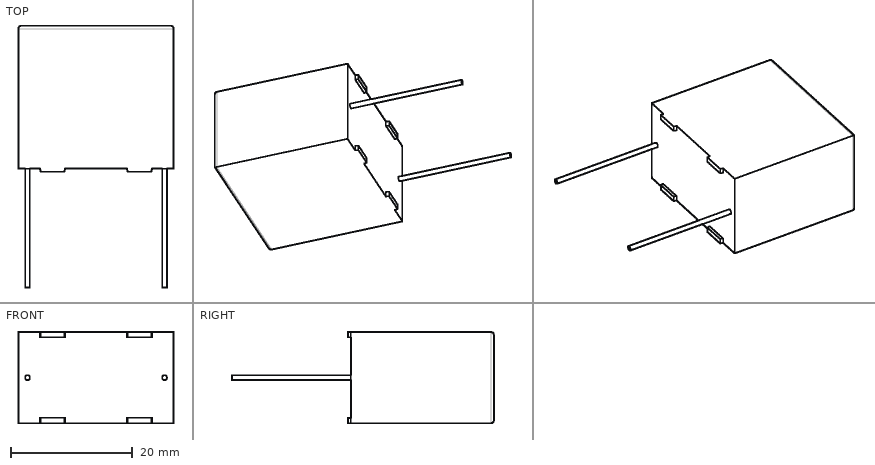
import cadquery as cq


CASE_WIDTH = 25.5
CASE_THICKNESS = 15.0
OVERALL_DEPTH = 43.0
LEAD_LENGTH = 19.52
CASE_DEPTH = OVERALL_DEPTH - LEAD_LENGTH
BACK_EDGE_RADIUS = 0.5

FOOT_SPACING = 14.28
FOOT_BASE_WIDTH = 4.15
FOOT_TIP_WIDTH = 3.85
FOOT_HEIGHT = 0.5
FOOT_THICKNESS = 0.9

LEAD_PITCH = 22.5
LEAD_DIAMETER = 0.8


def make_foot(center_x, bottom_z):
    """Trapezoidal foot that narrows from the lead face toward its tip."""
    return (
        cq.Workplane("XY")
        .workplane(offset=bottom_z)
        .moveTo(center_x - FOOT_BASE_WIDTH / 2, 0)
        .lineTo(center_x + FOOT_BASE_WIDTH / 2, 0)
        .lineTo(center_x + FOOT_TIP_WIDTH / 2, -FOOT_HEIGHT)
        .lineTo(center_x - FOOT_TIP_WIDTH / 2, -FOOT_HEIGHT)
        .close()
        .extrude(FOOT_THICKNESS)
    )


def make_case():
    """Plain box with rounded back edges and four feet on the lead face."""
    case = (
        cq.Workplane("XY")
        .box(CASE_WIDTH, CASE_DEPTH, CASE_THICKNESS, centered=(True, False, True))
        .faces(">Y")
        .edges()
        .fillet(BACK_EDGE_RADIUS)
    )
    lower_foot_z = -CASE_THICKNESS / 2
    upper_foot_z = CASE_THICKNESS / 2 - FOOT_THICKNESS
    for center_x in (-FOOT_SPACING / 2, FOOT_SPACING / 2):
        for bottom_z in (lower_foot_z, upper_foot_z):
            case = case.union(make_foot(center_x, bottom_z))
    return case


def make_lead(center_x):
    """Straight round wire that starts on the lead face and points to -Y."""
    return (
        cq.Workplane("XZ")
        .center(center_x, 0)
        .circle(LEAD_DIAMETER / 2)
        .extrude(LEAD_LENGTH)
    )


case = make_case()
leads = [make_lead(center_x) for center_x in (-LEAD_PITCH / 2, LEAD_PITCH / 2)]

result = cq.Compound.makeCompound([case.val(), *[lead.val() for lead in leads]])